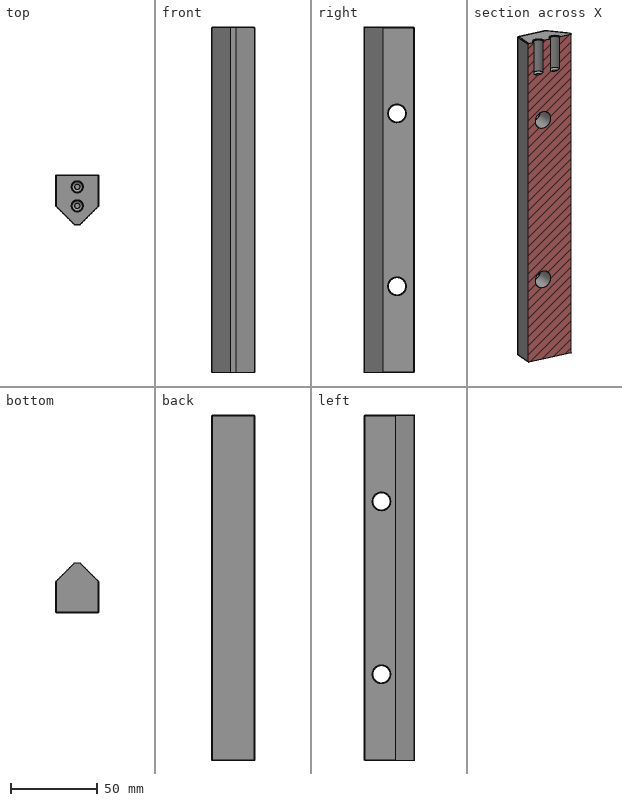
import cadquery as cq
import math

length = 200.0
width = 25.0
depth = 29.0
nose_width = 3.0
nose_depth = (width - nose_width) / 2
edge_chamfer = 0.5

cross_hole_diameter = 10.0
cross_hole_rim = 10.8
cross_hole_from_back = 10.0
cross_hole_heights = (length / 4, 3 * length / 4)

end_hole_diameter = 6.0
end_hole_rim = 7.0
end_hole_depth = 20.0
end_hole_tip_diameter = 3.0
drill_point_angle = 118
end_holes_from_back = (7.0, 18.0)

back = depth / 2
shoulder = nose_depth - back
side = width / 2


def bar():
    """Prism with the edges of the back face and the end edges of both side faces chamfered."""
    outline = [
        (-side, back),
        (-side, shoulder),
        (-nose_width / 2, -back),
        (nose_width / 2, -back),
        (side, shoulder),
        (side, back),
    ]
    prism = cq.Workplane("XY").polyline(outline).close().extrude(length)
    back_edges = prism.faces(">Y").edges()
    side_end_edges = prism.faces("<X or >X").edges("|Y")
    return back_edges.add(side_end_edges).chamfer(edge_chamfer)


def cross_hole(height):
    """Through hole along X with both rims countersunk at 45 degrees."""
    hole_radius = cross_hole_diameter / 2
    rim_radius = cross_hole_rim / 2
    rim_depth = rim_radius - hole_radius
    half_profile = [
        (-side, 0),
        (-side, rim_radius),
        (-side + rim_depth, hole_radius),
        (side - rim_depth, hole_radius),
        (side, rim_radius),
        (side, 0),
    ]
    cutter = cq.Workplane("XY").polyline(half_profile).close().revolve(360, (0, 0), (1, 0))
    return cutter.translate((0, back - cross_hole_from_back, height))


def end_hole(from_back):
    """Blind hole down from the top, countersunk at the rim, with a blunt conical bottom."""
    hole_radius = end_hole_diameter / 2
    rim_radius = end_hole_rim / 2
    tip_radius = end_hole_tip_diameter / 2
    rim_depth = rim_radius - hole_radius
    cone_height = (hole_radius - tip_radius) / math.tan(math.radians(drill_point_angle / 2))
    bottom = -end_hole_depth - cone_height
    half_profile = [
        (0, 0),
        (rim_radius, 0),
        (hole_radius, -rim_depth),
        (hole_radius, -end_hole_depth),
        (tip_radius, bottom),
        (0, bottom),
    ]
    cutter = cq.Workplane("XZ").polyline(half_profile).close().revolve(360, (0, 0), (0, 1))
    return cutter.translate((0, back - from_back, length))


result = bar()
for height in cross_hole_heights:
    result = result.cut(cross_hole(height))
for from_back in end_holes_from_back:
    result = result.cut(end_hole(from_back))